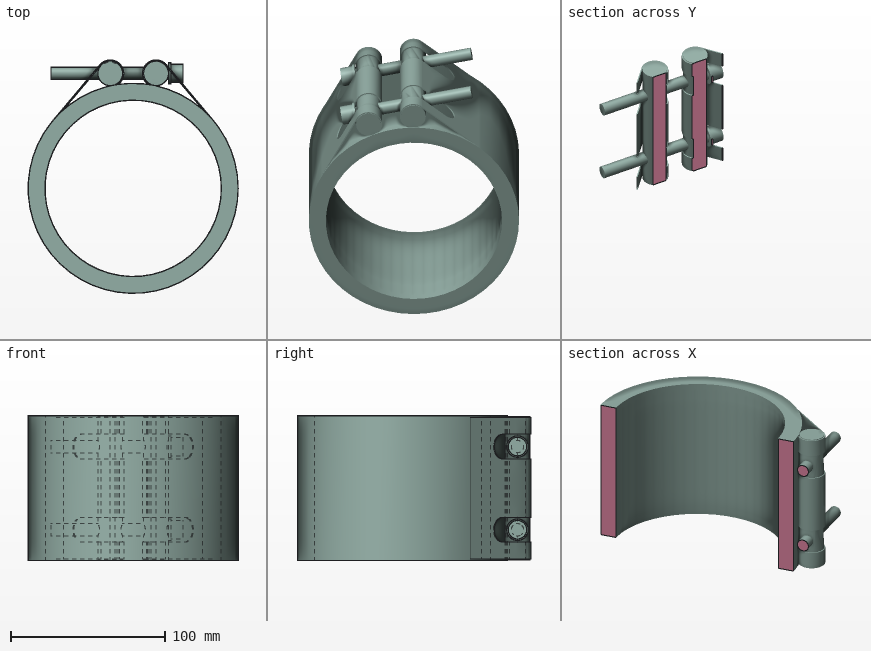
import cadquery as cq
import math

ring_diameter = 136.4
bore_diameter = 114.2
ring_height = 94.0
ring_radius = ring_diameter / 2

roller_diameter = 16.0
roller_height = 93.0
roller_offset_x = 14.8
strap_thickness = 0.8
strap_height = 92.0
clamp_top_y = 83.3
roller_radius = roller_diameter / 2
wrap_radius = roller_radius + strap_thickness
roller_y = clamp_top_y - wrap_radius

slot_width = 16.0
slot_end_distance = 19.1

bolt_diameter = 8.0
bolt_spacing = 54.0
bolt_tip_x = -53.3
washer_diameter = 14.0
washer_thickness = 1.5
washer_start_x = roller_offset_x + roller_radius
head_diameter = 12.0
head_end_x = 32.4
bolt_heights = (-bolt_spacing / 2, bolt_spacing / 2)

roller_distance = math.hypot(roller_offset_x, roller_y)
roller_angle = math.atan2(roller_y, roller_offset_x)
strap_angle = roller_angle - math.acos((ring_radius - wrap_radius) / roller_distance)
strap_length = math.sqrt(roller_distance**2 - (ring_radius - wrap_radius) ** 2)


def centred_cylinder(diameter, height):
    base = cq.Workplane("XY", origin=(0, 0, -height / 2))
    return base.circle(diameter / 2).extrude(height)


def x_cylinder(diameter, start_x, end_x, z):
    """Cylinder on the bolt axis at height z."""
    plane = cq.Workplane("YZ", origin=(start_x, roller_y, z))
    return plane.circle(diameter / 2).extrude(end_x - start_x)


def looped_profile(radius):
    """Strap-high solid, round over the roller, with parallel legs running to the ring.

    Local X is the strap normal and local -Y runs down the strap from the roller axis.
    """
    return (
        cq.Workplane("XY", origin=(0, 0, -strap_height / 2))
        .moveTo(radius, -strap_length)
        .lineTo(radius, 0)
        .threePointArc((0, radius), (-radius, 0))
        .lineTo(-radius, -strap_length)
        .close()
        .extrude(strap_height)
    )


def strap_slot(z):
    """Cutter across both strap legs, open over the top of the roller."""
    depth = 2 * wrap_radius
    length = slot_end_distance + depth
    straight = cq.Workplane("XY").box(depth, length, slot_width).translate((0, depth - length / 2, z))
    round_end = (
        cq.Workplane("YZ", origin=(-depth / 2, -slot_end_distance, z))
        .circle(slot_width / 2)
        .extrude(depth)
    )
    return straight.union(round_end)


def right_strap():
    strap = looped_profile(wrap_radius).cut(looped_profile(roller_radius))
    for z in bolt_heights:
        strap = strap.cut(strap_slot(z))
    placed = strap.rotate((0, 0, 0), (0, 0, 1), math.degrees(strap_angle))
    placed = placed.translate((roller_offset_x, roller_y, 0))
    return placed.cut(centred_cylinder(ring_diameter, ring_height))


def bolt(z):
    washer_end_x = washer_start_x + washer_thickness
    shank = x_cylinder(bolt_diameter, bolt_tip_x, washer_end_x, z)
    washer = x_cylinder(washer_diameter, washer_start_x, washer_end_x, z)
    head = x_cylinder(head_diameter, washer_end_x, head_end_x, z)
    return shank.union(washer).union(head)


result = centred_cylinder(ring_diameter, ring_height)

strap = right_strap()
roller = centred_cylinder(roller_diameter, roller_height).translate((roller_offset_x, roller_y, 0))
for side in (strap, roller):
    result = result.union(side).union(side.mirror("YZ"))

for z in bolt_heights:
    result = result.union(bolt(z))

result = result.cut(centred_cylinder(bore_diameter, ring_height))